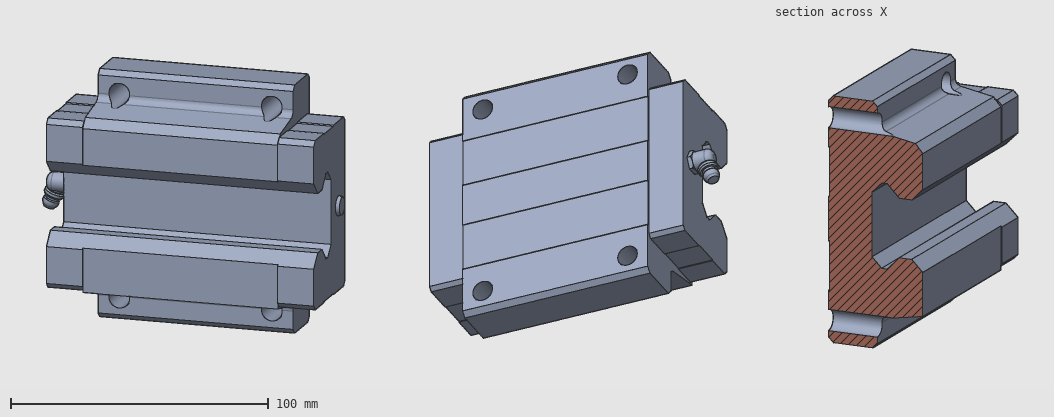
import cadquery as cq
import math


block_length = 79.4
block_height = 100.0
block_bottom_y = -40.5
flange_thickness = 21.1
flange_chamfer = 2.1
skirt_half_height = 34.6
skirt_draft = math.radians(10)
skirt_chamfer = 3.2
flange_root_radius = 3.0
relief_inner_z = 9.0
relief_outer_z = 29.0
relief_depth = 0.3

hole_diameter = 8.4
hole_spacing_x = 62.1
hole_spacing_z = 82.1

cap_length = 14.7
cap_top_y = -1.1
cap_bottom_y = -41.0
cap_half_height = 34.1
cap_top_chamfer = 1.6
cap_bottom_chamfer = 2.1
cap_waist_depth = 0.4
cap_waist_top_y = -15.3
cap_waist_bottom_y = -27.9
cap_waist_ramp = 0.6

groove_floor_y = -18.8
groove_floor_half = 13.0
groove_wide_half = 17.2
groove_wide_bottom_y = -25.2
groove_lip_half = 11.9
groove_lip_bottom_y = -35.8
groove_overcut = 1.2

port_y = -9.1
end_x = block_length / 2 + cap_length
plug_diameter = 8.0
plug_height = 1.5
plug_taper = 18

hex_flats = 8.0
hex_height = 1.8
hex_corner_chamfer = 0.5
elbow_diameter = 7.8
elbow_length = 9.6
elbow_round = 2.7
branch_offset = 5.0
branch_tilt = 22.5
collar_diameter = 8.0
collar_radius = collar_diameter / 2
collar_edge_radius = 3.5
collar_start = 3.5
collar_wide_start = 4.1
collar_wide_end = 5.4
collar_end = 6.1
neck_diameter = 5.5
neck_radius = neck_diameter / 2
neck_end = 7.2
head_diameter = 6.6
head_radius = head_diameter / 2
head_start = 7.7
head_start_radius = 3.2
head_widest = 8.5
head_end = 10.0
head_end_radius = 2.8
tip_radius = 2.2
tip_end = 11.0


def x_prism(section, x_start, length):
    """Extrude a section, drawn in (Y, Z), along +X from x_start."""
    return section.extrude(length).translate((x_start, 0, 0))


def both_sides(points):
    """Close a half outline of (Y, Z) points by mirroring it across Z = 0."""
    mirrored = [(y, -z) for y, z in reversed(points)]
    return cq.Workplane("YZ").polyline(points + mirrored).close()


def make_block():
    half = block_height / 2
    skirt_top_z = skirt_half_height + (-flange_thickness - block_bottom_y) * math.tan(skirt_draft)
    outline = both_sides([
        (0, half - flange_chamfer),
        (-flange_chamfer, half),
        (-flange_thickness + flange_chamfer, half),
        (-flange_thickness, half - flange_chamfer),
        (-flange_thickness, skirt_top_z),
        (block_bottom_y, skirt_half_height),
    ])
    block = x_prism(outline, -block_length / 2, block_length)
    for side in (1, -1):
        root = cq.selectors.NearestToPointSelector((0, -flange_thickness, side * skirt_top_z))
        block = block.edges(root).fillet(flange_root_radius)
    corner = cq.selectors.NearestToPointSelector((0, block_bottom_y, skirt_half_height))
    block = block.edges(corner).chamfer(skirt_chamfer)
    relief_width = relief_outer_z - relief_inner_z
    relief_centre = (relief_outer_z + relief_inner_z) / 2
    reliefs = (
        cq.Workplane("XZ")
        .pushPoints([(0, relief_centre), (0, -relief_centre)])
        .rect(block_length, relief_width)
        .extrude(relief_depth)
    )
    return block.cut(reliefs)


def make_cap(x_start):
    waist_z = cap_half_height - cap_waist_depth
    outline = both_sides([
        (cap_top_y, cap_half_height - cap_top_chamfer),
        (cap_top_y - cap_top_chamfer, cap_half_height),
        (cap_waist_top_y, cap_half_height),
        (cap_waist_top_y - cap_waist_ramp, waist_z),
        (cap_waist_bottom_y, waist_z),
        (cap_waist_bottom_y, cap_half_height),
        (cap_bottom_y + cap_bottom_chamfer, cap_half_height),
        (cap_bottom_y, cap_half_height - cap_bottom_chamfer),
    ])
    return x_prism(outline, x_start, cap_length)


def make_groove():
    flank_in = groove_wide_half - groove_floor_half
    flank_out = groove_wide_half - groove_lip_half
    mouth = groove_lip_bottom_y - cap_bottom_y + groove_overcut
    outline = both_sides([
        (groove_floor_y, groove_floor_half),
        (groove_floor_y - flank_in, groove_wide_half),
        (groove_wide_bottom_y, groove_wide_half),
        (groove_wide_bottom_y - flank_out, groove_lip_half),
        (groove_lip_bottom_y, groove_lip_half),
        (groove_lip_bottom_y - mouth, groove_lip_half + mouth),
    ])
    return x_prism(outline, -end_x, 2 * end_x)


def make_mounting_holes():
    return (
        cq.Workplane("XZ")
        .rect(hole_spacing_x, hole_spacing_z, forConstruction=True)
        .vertices()
        .circle(hole_diameter / 2)
        .extrude(-block_bottom_y)
    )


def make_plug():
    plug = cq.Workplane("YZ").circle(plug_diameter / 2).extrude(plug_height, taper=plug_taper)
    return plug.translate((end_x, port_y, 0))


def make_nipple():
    hex_corners = hex_flats / math.cos(math.pi / 6)
    base = cq.Workplane("YZ").polygon(6, hex_corners).extrude(-hex_height)
    corner_trim = cq.Workplane("YZ").circle(hex_corners / 2).extrude(-hex_height)
    base = base.intersect(corner_trim.faces("<X").edges().chamfer(hex_corner_chamfer))
    elbow = cq.Workplane("YZ").circle(elbow_diameter / 2).extrude(-elbow_length)
    elbow = elbow.faces("<X").edges().fillet(elbow_round)
    collar_and_neck = [
        (0, 0),
        (neck_radius, 0),
        (neck_radius, -collar_start),
        (collar_edge_radius, -collar_start),
        (collar_radius, -collar_wide_start),
        (collar_radius, -collar_wide_end),
        (collar_edge_radius, -collar_end),
        (neck_radius, -collar_end),
        (neck_radius, -neck_end),
        (head_start_radius, -head_start),
    ]
    branch = (
        cq.Workplane("XZ")
        .polyline(collar_and_neck)
        .threePointArc((head_radius, -head_widest), (head_end_radius, -head_end))
        .lineTo(tip_radius, -tip_end)
        .lineTo(0, -tip_end)
        .close()
        .revolve(360, (0, 0, 0), (0, 1, 0))
        .rotate((0, 0, 0), (0, 1, 0), branch_tilt)
        .translate((-branch_offset, 0, 0))
    )
    return base.union(elbow).union(branch).translate((-end_x, port_y, 0))


carriage = make_block().union(make_cap(-end_x)).union(make_cap(block_length / 2))
carriage = carriage.cut(make_groove()).cut(make_mounting_holes())
result = carriage.union(make_plug()).union(make_nipple())